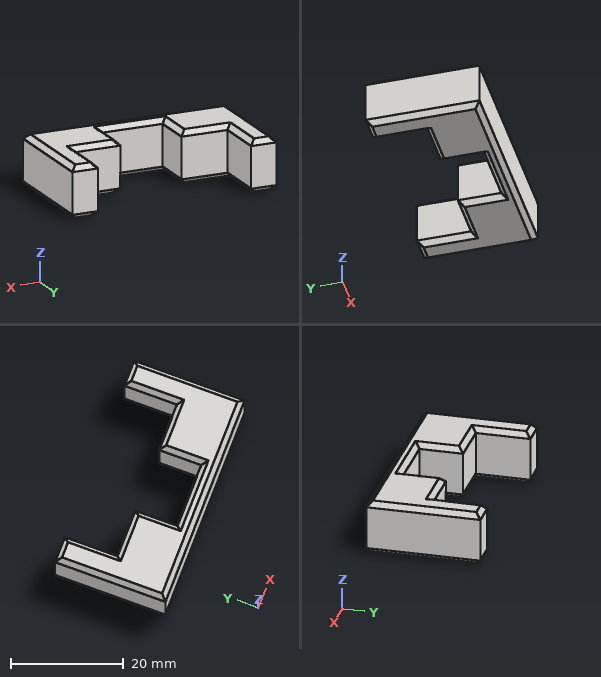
import cadquery as cq

length = 40.0
depth = 21.0
height = 10.0

arm_width = 5.0
arm_length = 10.0
slot_width = 12.0
front_wall = 3.0

chamfer_size = 1.0

half_length = length / 2
half_slot = slot_width / 2
arm_inner_x = half_length - arm_width
shoulder_y = depth - arm_length

half_outline = [
    (0, front_wall),
    (half_slot, front_wall),
    (half_slot, shoulder_y),
    (arm_inner_x, shoulder_y),
    (arm_inner_x, depth),
    (half_length, depth),
    (half_length, 0),
    (0, 0),
]

result = (
    cq.Workplane("XY")
    .polyline(half_outline)
    .mirrorY()
    .extrude(height)
    .faces("<Z or >Z")
    .chamfer(chamfer_size)
)